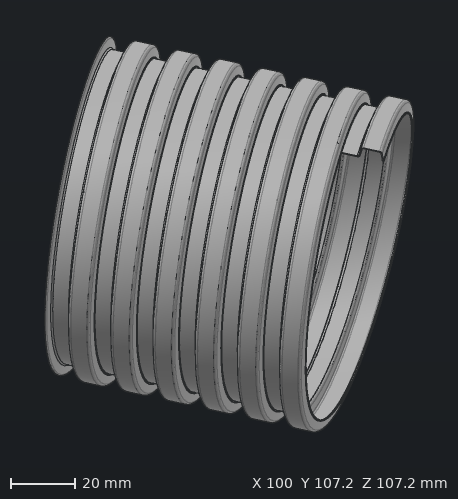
import cadquery as cq
import math

overall_length = 100.0
outer_radius = 53.6
valley_inner_radius = 49.0
end_shortfall = 5.3
turns = 6.25 - end_shortfall / 360

thickness = 0.39
layer_step = 0.41
strip_width = 15.2
crown_width = 6.4
flank_slope = 0.15
hem_length = 0.34
bend_radius = 0.8
hem_radius = 0.3

pitch = (overall_length - strip_width) / turns

crown_radius = outer_radius - thickness / 2
valley_radius = valley_inner_radius + thickness / 2
inner_hem_radius = crown_radius - layer_step
outer_hem_radius = valley_radius + layer_step

valley_start = hem_length + flank_slope * (inner_hem_radius - valley_radius)
outer_hem_start = strip_width - hem_length
crown_end = outer_hem_start - flank_slope * (crown_radius - outer_hem_radius)
crown_start = crown_end - crown_width
valley_end = crown_start - flank_slope * (crown_radius - valley_radius)

start_tip = cq.Vector(inner_hem_radius, 0, 0)
end_tip = cq.Vector(outer_hem_radius, 0, strip_width)
corners = [
    (hem_length, inner_hem_radius, hem_radius),
    (valley_start, valley_radius, bend_radius),
    (valley_end, valley_radius, bend_radius),
    (crown_start, crown_radius, bend_radius),
    (crown_end, crown_radius, bend_radius),
    (outer_hem_start, outer_hem_radius, hem_radius),
]


def bend_arc(before, corner, after, radius, offset):
    """Start, middle and end of a rounded corner, shifted sideways by offset."""
    incoming = (corner - before).normalized()
    outgoing = (after - corner).normalized()
    turn = math.acos(incoming.dot(outgoing))
    toward_center = (outgoing - incoming).normalized()
    center = corner + toward_center * (radius / math.cos(turn / 2))
    turn_sign = math.copysign(1, incoming.cross(outgoing).y)
    arc_radius = radius - turn_sign * offset
    normal = cq.Vector(0, turn_sign, 0)
    outward_start = incoming.cross(normal)
    outward_end = outgoing.cross(normal)
    outward = [outward_start, toward_center * -1, outward_end]
    return [center + direction * arc_radius for direction in outward]


def strip_side(offset):
    """One face line of the strip: its two tip points and the bends between them."""
    points = [cq.Vector(radius, 0, axial) for axial, radius, _ in corners]
    path = [start_tip] + points + [end_tip]
    arcs = []
    for index, (_, _, bend) in enumerate(corners):
        before, vertex, after = path[index : index + 3]
        arcs.append(bend_arc(before, vertex, after, bend, offset))
    shift = cq.Vector(offset, 0, 0)
    return start_tip + shift, arcs, end_tip + shift


def side_edges(offset):
    current, arcs, tip = strip_side(offset)
    edges = []
    for start, middle, end in arcs:
        edges.append(cq.Edge.makeLine(current, start))
        edges.append(cq.Edge.makeThreePointArc(start, middle, end))
        current = end
    edges.append(cq.Edge.makeLine(current, tip))
    return edges


def strip_profile():
    half = cq.Vector(thickness / 2, 0, 0)
    ends = [cq.Edge.makeLine(tip - half, tip + half) for tip in (start_tip, end_tip)]
    return cq.Wire.assembleEdges(
        side_edges(thickness / 2) + [ends[1]] + side_edges(-thickness / 2) + [ends[0]]
    )


helix = cq.Wire.makeHelix(pitch, pitch * turns, outer_radius)
strip = cq.Solid.sweep(strip_profile(), [], helix, True, True)

third_turn = 120
along_x = strip.rotate(cq.Vector(0, 0, 0), cq.Vector(1, 1, 1), third_turn)
result = cq.Workplane("XY").add(along_x.translate(cq.Vector(-overall_length / 2, 0, 0)))